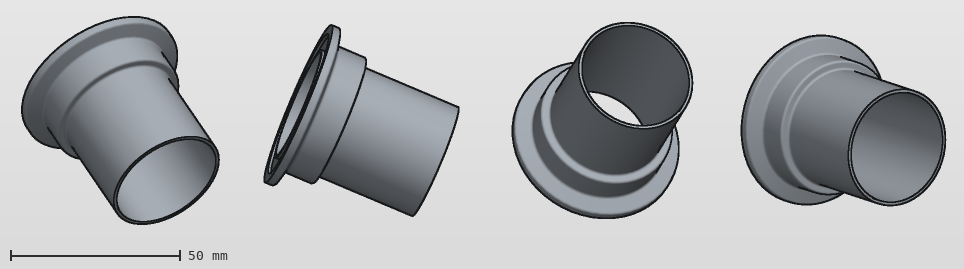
import cadquery as cq
import math

length = 44.0
flange_radius = 25.25
hub_radius = 20.2
tube_radius = 17.45
bore_radius = 16.45

taper_angle = math.radians(15)
taper_start = 2.6
taper_end = taper_start + (flange_radius - hub_radius) * math.tan(taper_angle)
hub_end = 13.3
profile_fillet = 0.75

recess_outer_radius = 22.3
lip_radius = 17.3
recess_depth = 0.9


def make_outer_body():
    """Flange with a tapered back, hub and tube, as one solid of revolution."""
    profile = [
        (0, 0),
        (0, flange_radius),
        (taper_start, flange_radius),
        (taper_end, hub_radius),
        (hub_end, hub_radius),
        (hub_end, tube_radius),
        (length, tube_radius),
        (length, 0),
    ]
    return cq.Workplane("XY").polyline(profile).close().revolve(360, (0, 0, 0), (1, 0, 0))


def round_steps(body):
    """Round the circular edges between the front face and the tube end."""
    return body.edges("%CIRCLE").edges("not(<X or >X)").fillet(profile_fillet)


def make_bore():
    return cq.Workplane("YZ").circle(bore_radius).extrude(length)


def make_face_recess():
    return cq.Workplane("YZ").circle(recess_outer_radius).circle(lip_radius).extrude(recess_depth)


body = round_steps(make_outer_body())
result = body.cut(make_bore()).cut(make_face_recess())